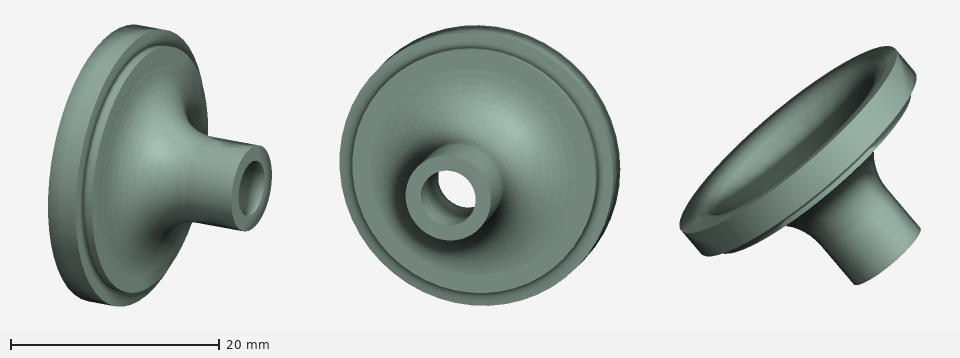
import cadquery as cq
import math

flange_radius = 27 / 2
flange_thickness = 3.0
step_radius = 24.0 / 2
step_thickness = 1.0
groove_width = 0.068
groove_depth = 0.49
neck_radius = 8.4 / 2
flare_radius = 6.0
total_length = 15.0

mouth_radius = 12.25
bore_radius = 5.4 / 2
funnel_round = 4.0
cone_angle = math.radians(36)

step_end = flange_thickness + step_thickness
neck_start = step_end + flare_radius

cone_mouth_x = funnel_round * (1 - math.cos(cone_angle))
cone_mouth_radius = mouth_radius - funnel_round * math.sin(cone_angle)
cone_throat_radius = bore_radius + funnel_round * (1 - math.sin(cone_angle))
cone_throat_x = cone_mouth_x + (cone_mouth_radius - cone_throat_radius) * math.tan(cone_angle)
bore_start = cone_throat_x + funnel_round * math.cos(cone_angle)


def arc_point(center, radius, angle):
    """Point on a circle in the profile plane (axial, radial)."""
    return (center[0] + radius * math.cos(angle), center[1] + radius * math.sin(angle))


mouth_center = (funnel_round, mouth_radius)
throat_center = (bore_start, bore_radius + funnel_round)
flare_center = (neck_start, neck_radius + flare_radius)

mouth_mid = arc_point(mouth_center, funnel_round, math.pi + cone_angle / 2)
throat_mid = arc_point(throat_center, funnel_round, (math.pi + cone_angle + 1.5 * math.pi) / 2)
flare_mid = arc_point(flare_center, flare_radius, 1.25 * math.pi)

profile = (
    cq.Workplane("XY")
    .moveTo(0, mouth_radius)
    .lineTo(0, flange_radius)
    .lineTo(flange_thickness, flange_radius)
    .lineTo(flange_thickness, step_radius - groove_depth)
    .lineTo(flange_thickness + groove_width, step_radius - groove_depth)
    .lineTo(flange_thickness + groove_width, step_radius)
    .lineTo(step_end, step_radius)
    .lineTo(step_end, neck_radius + flare_radius)
    .threePointArc(flare_mid, (neck_start, neck_radius))
    .lineTo(total_length, neck_radius)
    .lineTo(total_length, bore_radius)
    .lineTo(bore_start, bore_radius)
    .threePointArc(throat_mid, (cone_throat_x, cone_throat_radius))
    .lineTo(cone_mouth_x, cone_mouth_radius)
    .threePointArc(mouth_mid, (0, mouth_radius))
    .close()
)

result = profile.revolve(360, (0, 0, 0), (1, 0, 0))